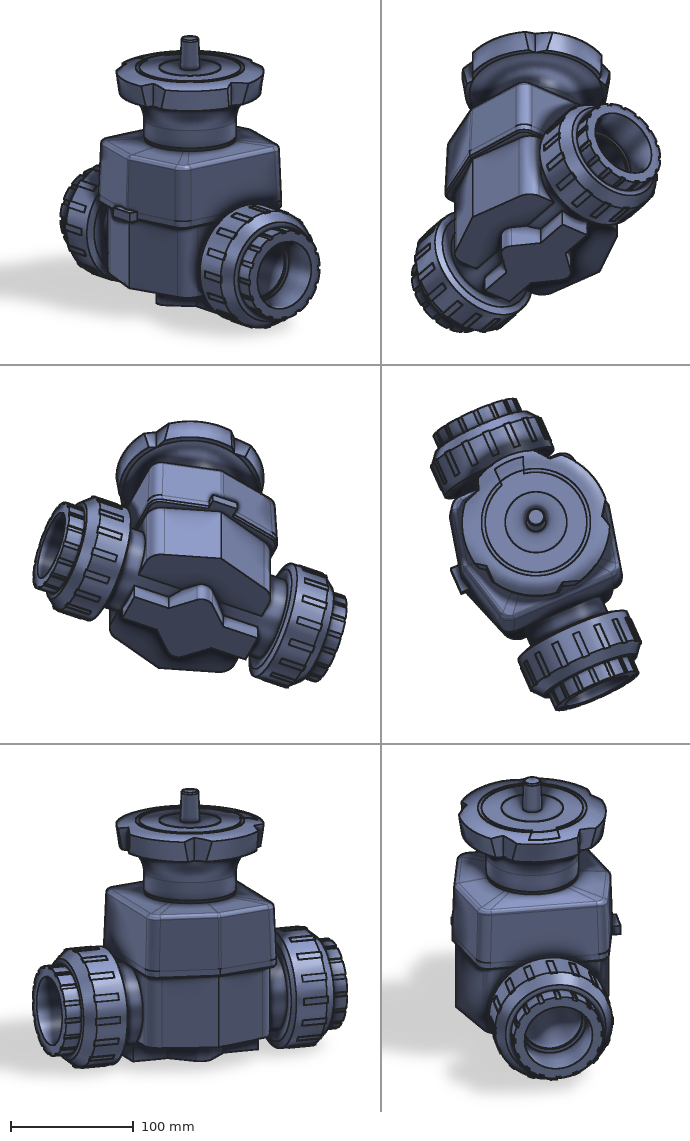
import cadquery as cq
import math


bore_radius = 25.0
pipe_radius = 34.0
half_length = 123.2
joint_x = 92.0

connector_radius = 37.0
socket_radius = 28.0
socket_depth = 29.0
connector_groove_width = 3.7
connector_groove_depth = 1.5

nut_outer_x = 109.6
nut_inner_x = 71.7
nut_radius = 48.5
nut_outer_end_radius = 41.5
nut_outer_chamfer_x = 100.8
nut_inner_end_radius = 42.6
nut_inner_chamfer_x = 74.0
rib_outer_x = 101.5
rib_inner_x = 80.5
rib_top_radius = 49.0
rib_width = 5.5
rib_root_radius = 44.4
divisions = 16

housing_bottom_z = -27.0
housing_top_z = 32.5
housing_half_width = 54.7
housing_apex_y = 63.3
housing_slope_end = (44.0, 48.5)
housing_corner_middle = (52.0, 43.4)
housing_side_y = 35.7

base_bottom_z = -46.0
base_half_width = 12.3
boss_radius = 9.9
boss_reach = 32.5

bonnet_half_width = 57.0
bonnet_apex_y = 66.3
bonnet_corner_y = 53.0
bonnet_corner_radius = 10.3
bonnet_ridge_radius = 5.0
skirt_top_z = 39.5
skirt_chamfer = 1.5
shoulder_z = 85.5
shoulder_fillet = 3.7
bonnet_draft = 2.0
roof_z = 88.2
collar_radius = 37.0
tab_width = 21.7
tab_front_y = -71.2
tab_top_z = 40.2

wheel_bottom_z = 90.7
neck_radius = 37.7
neck_top_z = 106.0
rim_bottom_z = 128.1
flare_radius = 54.0
rim_bottom_radius = 57.7
rim_radius = 60.0
rim_top_z = 145.4
wheel_top_z = 148.8
wheel_flat_radius = 44.4
ring_inner_radius = 41.5
disc_radius = 25.1
engraving_depth = 0.5
grip_count = 5
grip_apex_radius = 54.0
grip_outer_radius = 71.5
grip_short_side = (61.5, -9.5)
grip_long_side = (61.5, 16.0)
marker_outer_radius = 55.5
marker_outer_angles = (167.2, 193.7)
marker_inner_angles = (170.0, 198.4)

spindle_base_radius = 8.0
spindle_top_radius = 7.1
spindle_tip_radius = 6.5
spindle_tip_chamfer = 1.5
spindle_top_z = 173.5


def polar(radius, angle):
    """Point at a radius and an angle in degrees."""
    return radius * math.cos(math.radians(angle)), radius * math.sin(math.radians(angle))


def x_cylinder(radius, start, end):
    """Solid cylinder on the pipe axis."""
    return cq.Workplane("YZ").workplane(offset=start).circle(radius).extrude(end - start)


def around_pipe(shape, count):
    """Copies of a shape spaced evenly around the pipe axis."""
    step = 360.0 / count
    return [shape.rotate((0, 0, 0), (1, 0, 0), i * step) for i in range(count)]


def housing_block():
    """Six-sided block with a rounded corner at each end of its two sides."""
    sx, sy = housing_slope_end
    mx, my = housing_corner_middle
    w = housing_half_width
    outline = (
        cq.Workplane("XY").workplane(offset=housing_bottom_z)
        .moveTo(0, housing_apex_y)
        .lineTo(sx, sy)
        .threePointArc((mx, my), (w, housing_side_y))
        .lineTo(w, -housing_side_y)
        .threePointArc((mx, -my), (sx, -sy))
        .lineTo(0, -housing_apex_y)
        .lineTo(-sx, -sy)
        .threePointArc((-mx, -my), (-w, -housing_side_y))
        .lineTo(-w, housing_side_y)
        .threePointArc((-mx, my), (-sx, sy))
        .close()
    )
    return outline.extrude(housing_top_z - housing_bottom_z)


def mounting_base():
    """Foot along X, swelling at 45 degrees into a round boss on each side."""
    boss_y = boss_reach - boss_radius
    tangent = boss_radius * math.sin(math.radians(45))
    tangent_y = boss_y + tangent
    flank_x = tangent + tangent_y - base_half_width
    w = housing_half_width
    outline = (
        cq.Workplane("XY").workplane(offset=base_bottom_z)
        .moveTo(-w, base_half_width)
        .lineTo(-flank_x, base_half_width)
        .lineTo(-tangent, tangent_y)
        .threePointArc((0, boss_reach), (tangent, tangent_y))
        .lineTo(flank_x, base_half_width)
        .lineTo(w, base_half_width)
        .lineTo(w, -base_half_width)
        .lineTo(flank_x, -base_half_width)
        .lineTo(tangent, -tangent_y)
        .threePointArc((0, -boss_reach), (-tangent, -tangent_y))
        .lineTo(-flank_x, -base_half_width)
        .lineTo(-w, -base_half_width)
        .close()
    )
    return outline.extrude(housing_bottom_z - base_bottom_z)


def make_housing():
    """Valve housing with its pipe stubs and mounting base."""
    pipe = x_cylinder(pipe_radius, -joint_x, joint_x)
    bore = x_cylinder(bore_radius, -joint_x, joint_x)
    return housing_block().union(mounting_base()).union(pipe).cut(bore)


def bonnet_outline(z):
    """Sharp six-sided bonnet outline at a height."""
    w = bonnet_half_width
    corners = [
        (0, bonnet_apex_y), (w, bonnet_corner_y), (w, -bonnet_corner_y),
        (0, -bonnet_apex_y), (-w, -bonnet_corner_y), (-w, bonnet_corner_y),
    ]
    return cq.Workplane("XY").workplane(offset=z).polyline(corners).close()


def bonnet_roof(flat_top):
    """Shallow roof ruled from the edges of the flat bonnet top to a circle under the wheel."""
    def angle_of(point):
        return math.atan2(point.y, point.x)

    def rim_point(angle):
        return cq.Vector(neck_radius * math.cos(angle), neck_radius * math.sin(angle), roof_z)

    eaves = sorted(flat_top.Edges(), key=lambda edge: angle_of(edge.positionAt(0.5)))
    corner_angles = [angle_of(edge.endPoint()) for edge in eaves]
    rim = []
    for i, start in enumerate(corner_angles):
        end = corner_angles[(i + 1) % len(corner_angles)]
        sweep = math.remainder(end - start, 2 * math.pi)
        rim.append(cq.Edge.makeThreePointArc(rim_point(start), rim_point(start + sweep / 2), rim_point(end)))
    eaves_wire = cq.Wire.assembleEdges(eaves)
    rim_wire = cq.Wire.assembleEdges(rim)
    return cq.Workplane(cq.Solid.makeLoft([eaves_wire, rim_wire], True))


def make_bonnet():
    """Drafted cover with a skirt, a ruled roof, a collar and a front label tab."""
    skirt = bonnet_outline(housing_top_z).extrude(skirt_top_z - housing_top_z)
    skirt = skirt.edges("|Z and (>X or <X)").fillet(bonnet_corner_radius)
    skirt = skirt.faces("<Z").edges().chamfer(skirt_chamfer)

    cover = bonnet_outline(skirt_top_z).extrude(shoulder_z - skirt_top_z, taper=bonnet_draft)
    cover = cover.edges("not #Z").edges(">X or <X").fillet(bonnet_corner_radius)
    cover = cover.edges("not #Z").edges(">Y or <Y").fillet(bonnet_ridge_radius)
    cover = cover.faces(">Z").edges().fillet(shoulder_fillet)

    roof = bonnet_roof(cover.faces(">Z").val())
    collar = cq.Workplane("XY").workplane(offset=shoulder_z).circle(collar_radius)
    collar = collar.extrude(wheel_bottom_z - shoulder_z)
    tab = cq.Workplane("XY").box(
        tab_width, -tab_front_y - bonnet_corner_y, tab_top_z - housing_top_z, centered=(True, False, False)
    ).translate((0, tab_front_y, housing_top_z))

    saddle = x_cylinder(pipe_radius, -joint_x, joint_x)
    return skirt.union(cover).union(roof).union(collar).union(tab).cut(saddle)


def wheel_crown_z(radius):
    """Height of the rounded crown outside the flat top of the wheel."""
    run = rim_radius - wheel_flat_radius
    drop = wheel_top_z - rim_top_z
    crown_radius = (run ** 2 + drop ** 2) / (2 * drop)
    return wheel_top_z - crown_radius + math.sqrt(crown_radius ** 2 - (radius - wheel_flat_radius) ** 2)


def wheel_blank():
    """Turned handwheel: neck, concave flare, drafted rim and rounded crown."""
    run = flare_radius - neck_radius
    rise = rim_bottom_z - neck_top_z
    bend = (run ** 2 + rise ** 2) / (2 * run)
    half_angle = math.asin(rise / bend) / 2
    flare_middle = (
        neck_radius + bend * (1 - math.cos(half_angle)),
        neck_top_z + bend * math.sin(half_angle),
    )
    crown_middle_radius = (rim_radius + wheel_flat_radius) / 2
    profile = (
        cq.Workplane("XZ")
        .moveTo(0, wheel_bottom_z)
        .lineTo(neck_radius, wheel_bottom_z)
        .lineTo(neck_radius, neck_top_z)
        .threePointArc(flare_middle, (flare_radius, rim_bottom_z))
        .lineTo(rim_bottom_radius, rim_bottom_z)
        .lineTo(rim_radius, rim_top_z)
        .threePointArc(
            (crown_middle_radius, wheel_crown_z(crown_middle_radius)),
            (wheel_flat_radius, wheel_top_z),
        )
        .lineTo(0, wheel_top_z)
        .close()
    )
    return profile.revolve(360, (0, 0, 0), (0, 1, 0))


def grip_notch(angle):
    """V-shaped finger notch through the rim, shorter on one side."""
    short_radius, short_angle = grip_short_side
    long_radius, long_angle = grip_long_side
    corners = [
        polar(grip_apex_radius, angle),
        polar(short_radius, angle + short_angle),
        polar(grip_outer_radius, angle),
        polar(long_radius, angle + long_angle),
    ]
    notch = cq.Workplane("XY").workplane(offset=rim_bottom_z).polyline(corners).close()
    return notch.extrude(wheel_top_z - rim_bottom_z)


def marker_patch():
    """Pointer patch reaching from the engraved ring toward the rim, taller than the crown."""
    upper_outer, lower_outer = marker_outer_angles
    upper_inner, lower_inner = marker_inner_angles
    outer_middle = (upper_outer + lower_outer) / 2
    inner_middle = (upper_inner + lower_inner) / 2
    patch = (
        cq.Workplane("XY").workplane(offset=rim_top_z)
        .moveTo(*polar(ring_inner_radius, upper_inner))
        .lineTo(*polar(marker_outer_radius, upper_outer))
        .threePointArc(polar(marker_outer_radius, outer_middle), polar(marker_outer_radius, lower_outer))
        .lineTo(*polar(ring_inner_radius, lower_inner))
        .threePointArc(polar(ring_inner_radius, inner_middle), polar(ring_inner_radius, upper_inner))
        .close()
    )
    return patch.extrude(wheel_top_z - rim_top_z)


def make_handwheel():
    """Handwheel with finger notches and a shallow engraved top."""
    blank = wheel_blank()
    wheel = blank
    for i in range(grip_count):
        wheel = wheel.cut(grip_notch(i * 360.0 / grip_count))

    floor = cq.Workplane("XY").workplane(offset=wheel_top_z - engraving_depth)
    disc = floor.circle(disc_radius).extrude(engraving_depth)
    ring = floor.circle(wheel_flat_radius).circle(ring_inner_radius).extrude(engraving_depth)
    ring = ring.cut(marker_patch())

    flat_core = cq.Workplane("XY").circle(wheel_flat_radius).extrude(wheel_top_z)
    marker = marker_patch().cut(flat_core).cut(blank.translate((0, 0, -engraving_depth)))
    return wheel.cut(disc).cut(ring).cut(marker)


def make_spindle():
    """Tapered position indicator standing in the engraved disc of the wheel."""
    base_z = wheel_top_z - engraving_depth
    profile = (
        cq.Workplane("XZ")
        .moveTo(0, base_z)
        .lineTo(spindle_base_radius, base_z)
        .lineTo(spindle_top_radius, spindle_top_z - spindle_tip_chamfer)
        .lineTo(spindle_tip_radius, spindle_top_z)
        .lineTo(0, spindle_top_z)
        .close()
    )
    return profile.revolve(360, (0, 0, 0), (0, 1, 0))


def make_nut():
    """Union nut on the +X side, with raised ribs."""
    profile = (
        cq.Workplane("XY")
        .moveTo(nut_inner_x, pipe_radius)
        .lineTo(nut_inner_x, nut_inner_end_radius)
        .lineTo(nut_inner_chamfer_x, nut_radius)
        .lineTo(nut_outer_chamfer_x, nut_radius)
        .lineTo(nut_outer_x, nut_outer_end_radius)
        .lineTo(nut_outer_x, connector_radius)
        .lineTo(joint_x, connector_radius)
        .lineTo(joint_x, pipe_radius)
        .close()
    )
    nut = profile.revolve(360, (0, 0, 0), (1, 0, 0))
    rib = cq.Workplane("XY").box(
        rib_outer_x - rib_inner_x, rib_width, rib_top_radius - rib_root_radius, centered=(False, True, False)
    ).translate((rib_inner_x, 0, rib_root_radius))
    for copy in around_pipe(rib, divisions):
        nut = nut.union(copy)
    return nut


def make_connector():
    """Socket end on the +X side, grooved outside the nut."""
    shoulder_x = half_length - socket_depth
    connector = x_cylinder(connector_radius, joint_x, half_length)
    connector = connector.cut(x_cylinder(socket_radius, shoulder_x, half_length))
    connector = connector.cut(x_cylinder(bore_radius, joint_x, shoulder_x))
    floor_radius = connector_radius - connector_groove_depth
    groove = cq.Workplane("XY").box(
        half_length - nut_outer_x, connector_groove_width, connector_radius, centered=(False, True, False)
    ).translate((nut_outer_x, 0, floor_radius))
    for copy in around_pipe(groove, divisions):
        connector = connector.cut(copy)
    return connector


housing = make_housing()
bonnet = make_bonnet()
handwheel = make_handwheel()
spindle = make_spindle()
nuts = []
connectors = []
for side_angle in (0, 180):
    nuts.append(make_nut().rotate((0, 0, 0), (0, 0, 1), side_angle).val())
    connectors.append(make_connector().rotate((0, 0, 0), (0, 0, 1), side_angle).val())

result = cq.Compound.makeCompound(
    [housing.val(), bonnet.val(), handwheel.val(), spindle.val(), *nuts, *connectors]
)